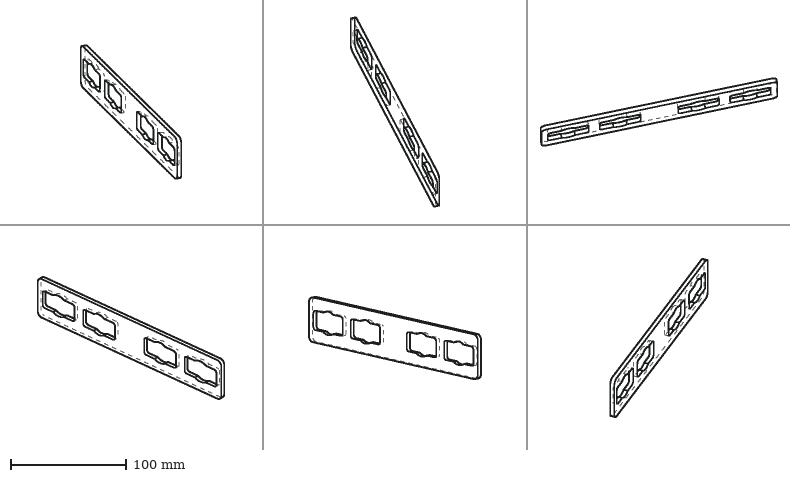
import cadquery as cq

plate_length = 210.0
plate_thickness = 4.0
plate_height = 40.0
plate_corner_radius = 5.0

window_length = 36.3
window_height = 17.2
window_corner_radius = 2.5
round_hole_diameter = 21.0

inner_window_x = 34.9
outer_window_x = 81.0


def rounded_block(length, height, corner_radius):
    """Block as thick as the plate, with its four Y edges rounded."""
    return (
        cq.Workplane("XY")
        .box(length, plate_thickness, height)
        .edges("|Y")
        .fillet(corner_radius)
    )


def window_cutter():
    """Cutter for one window, centred on the origin."""
    slot = rounded_block(window_length, window_height, window_corner_radius)
    round_hole = (
        cq.Workplane("XZ")
        .circle(round_hole_diameter / 2)
        .extrude(plate_thickness / 2, both=True)
    )
    return slot.union(round_hole)


result = rounded_block(plate_length, plate_height, plate_corner_radius)
window = window_cutter()
for window_x in (-outer_window_x, -inner_window_x, inner_window_x, outer_window_x):
    result = result.cut(window.translate((window_x, 0, 0)))